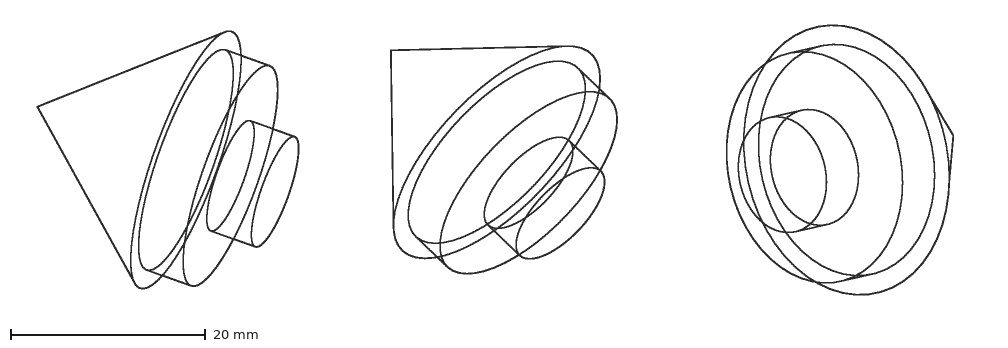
import cadquery as cq
import math

overall_length = 26.68
cone_diameter = 28.0
cone_half_angle = 40.0
collar_diameter = 24.0
stub_diameter = 12.0

cone_radius = cone_diameter / 2
cone_length = cone_radius / math.tan(math.radians(cone_half_angle))
step_length = (overall_length - cone_length) / 2

collar_start = cone_length
stub_start = collar_start + step_length


def make_cone():
    """Solid cone with its tip at the origin, widening toward +X."""
    return (
        cq.Workplane("XY")
        .polyline([(0, 0), (cone_length, 0), (cone_length, cone_radius)])
        .close()
        .revolve(360, (0, 0, 0), (1, 0, 0))
    )


def make_disc(start, diameter):
    """Disc on the X axis, one step long, beginning at X = start."""
    return cq.Workplane("YZ").workplane(offset=start).circle(diameter / 2).extrude(step_length)


collar = make_disc(collar_start, collar_diameter)
stub = make_disc(stub_start, stub_diameter)
result = make_cone().union(collar).union(stub)